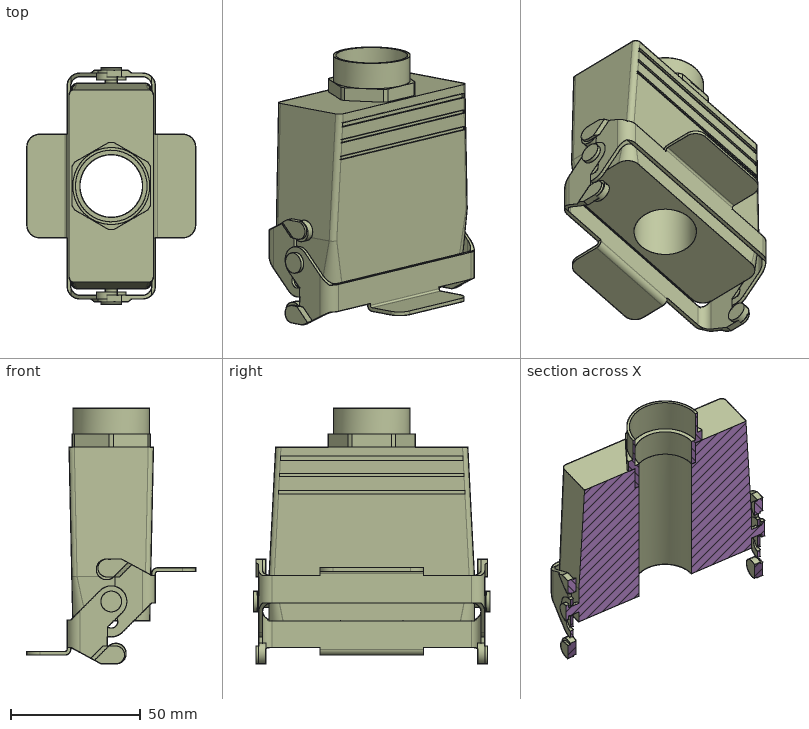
import cadquery as cq
import math

OVERALL_WIDTH = 65.0
OVERALL_LENGTH = 91.0

HOOD_BOTTOM = 16.5
HOOD_BREAK = 33.7
HOOD_TOP = 83.4
HOOD_BOTTOM_WIDTH = 29.7
HOOD_TOP_WIDTH = 32.6
HOOD_BOTTOM_LENGTH = 79.1
HOOD_TOP_LENGTH = 74.0
HOOD_CORNER = 2.1
HOOD_BOTTOM_CORNER = 5.4

GROOVE_LEVELS = [(65.4, 66.7), (72.0, 73.3), (78.2, 79.9)]
GROOVE_FLOOR = 15.35

SPIGOT_DIAMETER = 27.6
SPIGOT_BOTTOM = 73.4
HEX_FLATS = 30.0
HEX_CORNERS = 33.7
HEX_TOP = 88.5
COLLAR_TOP = 98.4
COLLAR_DIAMETER = 29.6
GLAND_BORE = 27.6
GLAND_FLOOR = 1.5
CABLE_HOLE = 24.0

PIN_DIAMETER = 4.7
PIN_HEAD_DIAMETER = 8.0
PIN_HEAD_THICKNESS = 1.5
PIN_END = OVERALL_LENGTH / 2
PIN_EMBED = 2.0

SHEET = 1.5
LEVER_AXIS_Z = 20.2
EYE_OFFSET = 3.8
EYE_RADIUS = 6.0
EYE_HOLE = 5.0
LEVER_SIDE = 17.0
LEVER_END = 43.5
LEVER_BEND = 5.0
SIDE_BOTTOM = 6.3
SIDE_TOP = 16.9
ARM_EDGE_X = -1.5
ARM_BOTTOM_X = -3.9

TAB_HEIGHT = 6.9
TAB_END_X = 1.7
TAB_RISE = 1.1
RAMP_FOOT_X = -3.1
RAMP_WIDTH = 1.6
KNOB_DIAMETER = 8.0
KNOB_X = 1.8
KNOB_INNER_FACE = 40.7

HANDLE_REACH = OVERALL_WIDTH / 2
HANDLE_WIDTH = 39.95
HANDLE_BOTTOM = 3.3
HANDLE_BEND = 0.8
HANDLE_CORNER = 5.0

PIN_Z = LEVER_AXIS_Z + EYE_OFFSET
DIAGONAL = math.sqrt(0.5)


def rounded_section(width, length, corner, level):
    """Level sketch of a rounded rectangle, centred on the Z axis."""
    outline = cq.Sketch().rect(width, length).vertices().fillet(corner)
    return outline.moved(cq.Location(cq.Vector(0, 0, level)))


def cylinder_y(x, z, diameter, y_start, y_end):
    """Cylinder along Y between two Y positions."""
    return cq.Workplane("XZ", origin=(x, y_end, z)).circle(diameter / 2).extrude(y_end - y_start)


def with_mirror_image(half):
    """A shape joined with its mirror image across the XZ plane."""
    return half.union(half.mirror("XZ"))


def make_hood():
    taper = (HOOD_TOP_WIDTH - HOOD_BOTTOM_WIDTH) / (HOOD_TOP - HOOD_BOTTOM)
    break_width = HOOD_BOTTOM_WIDTH + taper * (HOOD_BREAK - HOOD_BOTTOM)
    bottom = rounded_section(HOOD_BOTTOM_WIDTH, HOOD_BOTTOM_LENGTH, HOOD_BOTTOM_CORNER, HOOD_BOTTOM)
    middle = rounded_section(break_width, HOOD_BOTTOM_LENGTH, HOOD_CORNER, HOOD_BREAK)
    top = rounded_section(HOOD_TOP_WIDTH, HOOD_TOP_LENGTH, HOOD_CORNER, HOOD_TOP)
    lower_part = cq.Workplane("XY").placeSketch(bottom, middle).loft(ruled=True)
    upper_part = cq.Workplane("XY").placeSketch(middle, top).loft(ruled=True)
    hood = lower_part.union(upper_part)

    length_taper = (HOOD_BOTTOM_LENGTH - HOOD_TOP_LENGTH) / (HOOD_TOP - HOOD_BREAK)
    for low, high in GROOVE_LEVELS:
        half_lengths = [
            (HOOD_TOP_LENGTH + length_taper * (HOOD_TOP - level)) / 2 - HOOD_CORNER for level in (low, high)
        ]
        outline = [
            (-half_lengths[0], low),
            (half_lengths[0], low),
            (half_lengths[1], high),
            (-half_lengths[1], high),
        ]
        groove = cq.Workplane("YZ").workplane(offset=GROOVE_FLOOR).polyline(outline).close()
        groove = groove.extrude(HOOD_TOP_WIDTH / 2)
        hood = hood.cut(groove).cut(groove.mirror("YZ"))

    head_start = PIN_END - PIN_HEAD_THICKNESS
    shank = cylinder_y(0, PIN_Z, PIN_DIAMETER, HOOD_BOTTOM_LENGTH / 2 - PIN_EMBED, head_start)
    head = cylinder_y(0, PIN_Z, PIN_HEAD_DIAMETER, head_start, PIN_END)
    hood = hood.union(with_mirror_image(shank.union(head)))

    bore = cq.Workplane("XY").workplane(offset=HOOD_BOTTOM).circle(CABLE_HOLE / 2)
    socket = cq.Workplane("XY").workplane(offset=SPIGOT_BOTTOM).circle(SPIGOT_DIAMETER / 2)
    return hood.cut(bore.extrude(HOOD_TOP - HOOD_BOTTOM)).cut(socket.extrude(HOOD_TOP - SPIGOT_BOTTOM))


def make_gland():
    base = cq.Workplane("XY").workplane(offset=HOOD_TOP)
    hex_height = HEX_TOP - HOOD_TOP
    hexagon = base.polygon(6, HEX_FLATS, circumscribed=True).extrude(hex_height)
    hexagon = hexagon.intersect(base.circle(HEX_CORNERS / 2).extrude(hex_height))
    collar = base.circle(COLLAR_DIAMETER / 2).extrude(COLLAR_TOP - HOOD_TOP)
    bore = base.workplane(offset=GLAND_FLOOR).circle(GLAND_BORE / 2).extrude(COLLAR_TOP - HOOD_TOP)
    spigot = base.circle(SPIGOT_DIAMETER / 2).extrude(SPIGOT_BOTTOM - HOOD_TOP)
    cable_hole = base.circle(CABLE_HOLE / 2).extrude(COLLAR_TOP - SPIGOT_BOTTOM, both=True)
    return hexagon.union(collar).union(spigot).cut(bore).cut(cable_hole)


def lever_outline():
    """Lever seen along Y, filled, as a prism through the full length."""
    tangent = EYE_RADIUS * DIAGONAL
    eye_to_edge = 2 * tangent
    side_end_x = (SIDE_TOP - PIN_Z) - eye_to_edge
    arm_edge_top = PIN_Z - eye_to_edge + ARM_EDGE_X
    return (
        cq.Workplane("XZ", origin=(0, PIN_END, 0))
        .moveTo(ARM_BOTTOM_X, 0)
        .lineTo(TAB_END_X, 0)
        .threePointArc((TAB_END_X + TAB_HEIGHT / 2, TAB_HEIGHT / 2), (TAB_END_X, TAB_HEIGHT))
        .lineTo(ARM_EDGE_X, TAB_HEIGHT)
        .lineTo(ARM_EDGE_X, arm_edge_top)
        .lineTo(tangent, PIN_Z - tangent)
        .threePointArc((tangent, PIN_Z + tangent), (-tangent, PIN_Z + tangent))
        .lineTo(side_end_x, SIDE_TOP)
        .lineTo(-LEVER_SIDE, SIDE_TOP)
        .lineTo(-LEVER_SIDE, SIDE_BOTTOM)
        .lineTo(SHEET - LEVER_SIDE, SIDE_BOTTOM)
        .close()
        .extrude(2 * PIN_END)
    )


def plan_block(inset):
    """Upright block with two rounded corners, inset from the outer faces of the lever."""
    side = LEVER_SIDE - inset
    end = LEVER_END - inset
    block = cq.Workplane("XY").box(2 * side, 2 * end, PIN_Z + EYE_RADIUS, centered=(True, True, False))
    return block.edges("|Z and <X").fillet(LEVER_BEND - inset)


def make_handle():
    """Lip bent outward from the lower edge of the long side."""
    inner_face = SHEET - LEVER_SIDE
    outer_bend = HANDLE_BEND + SHEET
    bend_x = inner_face - outer_bend
    bend_z = HANDLE_BOTTOM + outer_bend
    outer_mid = outer_bend * DIAGONAL
    inner_mid = HANDLE_BEND * DIAGONAL
    handle = (
        cq.Workplane("XZ", origin=(0, HANDLE_WIDTH / 2, 0))
        .moveTo(inner_face, SIDE_BOTTOM)
        .lineTo(inner_face, bend_z)
        .threePointArc((bend_x + outer_mid, bend_z - outer_mid), (bend_x, HANDLE_BOTTOM))
        .lineTo(-HANDLE_REACH, HANDLE_BOTTOM)
        .lineTo(-HANDLE_REACH, HANDLE_BOTTOM + SHEET)
        .lineTo(bend_x, HANDLE_BOTTOM + SHEET)
        .threePointArc((bend_x + inner_mid, bend_z - inner_mid), (-LEVER_SIDE, bend_z))
        .lineTo(-LEVER_SIDE, SIDE_BOTTOM)
        .close()
        .extrude(HANDLE_WIDTH)
    )
    return handle.edges("|Z and <X").fillet(HANDLE_CORNER)


def make_tab_pad():
    """Outward thickening of the +Y tab, with a ramp at 45 degrees to the arm."""
    reach = 3 * TAB_HEIGHT
    across_ramp = cq.Plane(origin=(RAMP_FOOT_X, LEVER_END, TAB_HEIGHT), xDir=(1, 0, -1), normal=(1, 0, 1))
    section = [(0, -SHEET), (0, 0), (RAMP_WIDTH, TAB_RISE), (reach, TAB_RISE), (reach, -SHEET)]
    pad = cq.Workplane(across_ramp).polyline(section).close().extrude(reach, both=True)
    tab_space = cq.Workplane("XY").box(2 * LEVER_SIDE, 2 * PIN_END, TAB_HEIGHT, centered=(True, True, False))
    return pad.intersect(tab_space)


def make_lever():
    outline = lever_outline()
    band = plan_block(0).cut(plan_block(SHEET))
    lever = band.intersect(outline).union(make_handle())
    pad = make_tab_pad().intersect(outline)
    knob = cylinder_y(KNOB_X, KNOB_DIAMETER / 2, KNOB_DIAMETER, KNOB_INNER_FACE, LEVER_END)
    lever = lever.union(with_mirror_image(pad.union(knob)))
    return lever.cut(cylinder_y(0, PIN_Z, EYE_HOLE, -PIN_END, PIN_END))


hood = make_hood()
gland = make_gland()

left_lever = make_lever()
axis_start = (0, 0, LEVER_AXIS_Z)
axis_end = (0, 1, LEVER_AXIS_Z)
right_lever = left_lever.rotate(axis_start, axis_end, 180).cut(lever_outline())

result = cq.Compound.makeCompound([hood.val(), gland.val(), left_lever.val(), right_lever.val()])